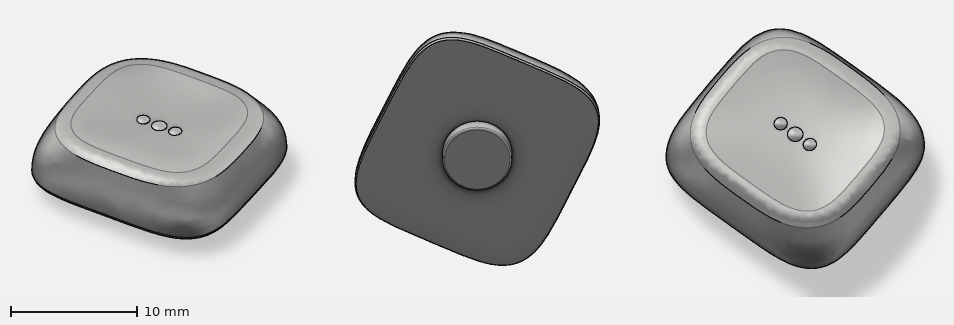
import cadquery as cq
import math

length_x = 17.47
length_y = 16.5
total_height = 5.65
stem_height = 1.3
cap_height = total_height - stem_height

base_squareness = 4.4
shoulder_squareness = 3.05
rim_squareness = 3.7
base_edge_height = 0.25
base_edge_inset = 0.09
shoulder_inset = 1.12
rim_inset = 2.48
points_per_outline = 48

wall_profile = [(base_edge_height, 0), (1.48, 0.1), (2.59, 0.44), (3.34, 0.8), (3.91, shoulder_inset)]
lip_profile = [wall_profile[-1], (4.21, 1.59), (cap_height, rim_inset)]

dish_depth = 0.77
dish_fractions = [1.0, 0.75, 0.5, 0.25, 0.06]
ellipse_squareness = 2.0

stem_diameter = 5.5
stem_edge_radius = 0.15

dome_spacing = 1.48
domes = [(-dome_spacing, 0.55), (0, 0.63), (dome_spacing, 0.55)]
dome_height = 0.2
dome_root = 0.35


def outline(half_x, half_y, squareness, z):
    """Closed smooth rounded-square wire at height z."""
    points = []
    for i in range(points_per_outline):
        angle = 2 * math.pi * i / points_per_outline
        c = math.cos(angle)
        s = math.sin(angle)
        reach = (abs(c) ** squareness + abs(s) ** squareness) ** (-1 / squareness)
        points.append(cq.Vector(half_x * reach * c, half_y * reach * s, z))
    return cq.Wire.assembleEdges([cq.Edge.makeSpline(points, periodic=True)])


def inset_outline(z, inset, squareness):
    return outline(length_x / 2 - inset, length_y / 2 - inset, squareness, z)


def blend(start, end, fraction):
    return start + (end - start) * fraction


def profile_loft(profile, start_squareness, end_squareness):
    """Solid through inset outlines whose squareness changes with the inset."""
    first = profile[0][1]
    last = profile[-1][1]
    wires = []
    for z, inset in profile:
        fraction = (inset - first) / (last - first)
        wires.append(inset_outline(z, inset, blend(start_squareness, end_squareness, fraction)))
    return cq.Workplane(obj=cq.Solid.makeLoft(wires))


def make_dish():
    rim_x = length_x / 2 - rim_inset
    rim_y = length_y / 2 - rim_inset
    wires = []
    for fraction in dish_fractions:
        z = cap_height - dish_depth * (1 - fraction ** 2)
        squareness = blend(ellipse_squareness, rim_squareness, fraction)
        wires.append(outline(rim_x * fraction, rim_y * fraction, squareness, z))
    return cq.Workplane(obj=cq.Solid.makeLoft(wires))


def make_dome(x, radius):
    """Shallow spherical cap with a short root below the dish surface."""
    rim_x = length_x / 2 - rim_inset
    floor_z = cap_height - dish_depth * (1 - (x / rim_x) ** 2)
    sphere_radius = (radius ** 2 + dome_height ** 2) / (2 * dome_height)
    return (
        cq.Workplane("XZ")
        .moveTo(0, floor_z - dome_root)
        .lineTo(radius, floor_z - dome_root)
        .lineTo(radius, floor_z)
        .radiusArc((0, floor_z + dome_height), -sphere_radius)
        .close()
        .revolve(360, (0, 0, 0), (0, 1, 0))
        .translate((x, 0, 0))
    )


base_edge = profile_loft([(0, base_edge_inset), (base_edge_height, 0)], base_squareness, base_squareness)
wall = profile_loft(wall_profile, base_squareness, shoulder_squareness)
lip = profile_loft(lip_profile, shoulder_squareness, rim_squareness)
body = base_edge.union(wall).union(lip).cut(make_dish())

stem = (
    cq.Workplane("XY")
    .circle(stem_diameter / 2)
    .extrude(-stem_height)
    .faces("<Z")
    .fillet(stem_edge_radius)
)
body = body.union(stem)

for dome_x, dome_radius in domes:
    body = body.union(make_dome(dome_x, dome_radius))

result = body